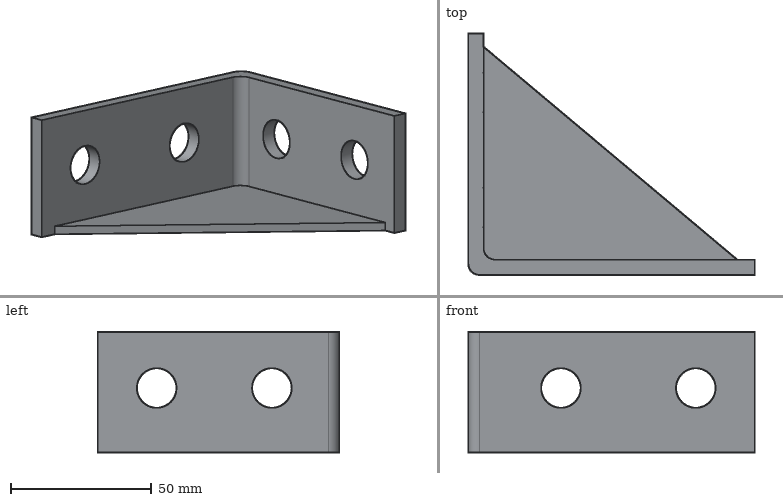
import cadquery as cq

length_x = 102.0
length_y = 86.0
height = 43.0
thickness = 5.5

bend_radius = 4.0

hole_diameter = 14.0
hole_height = 23.0
hole_end_distance = 21.0
hole_spacing_x = 48.0
hole_spacing_y = 41.0

gusset_length_x = 90.25
gusset_length_y = 75.75
gusset_thickness = 3.0

outer_hole_x = length_x - hole_end_distance
outer_hole_y = length_y - hole_end_distance


def make_legs():
    """Upright L-shaped plate with its corner at the origin and a rounded bend."""
    profile = (
        cq.Workplane("XY")
        .polyline(
            [
                (0, 0),
                (length_x, 0),
                (length_x, thickness),
                (thickness, thickness),
                (thickness, length_y),
                (0, length_y),
            ]
        )
        .close()
    )
    legs = profile.extrude(height)
    outer_corner = cq.selectors.NearestToPointSelector((0, 0, height / 2))
    inner_corner = cq.selectors.NearestToPointSelector((thickness, thickness, height / 2))
    legs = legs.edges(outer_corner).fillet(bend_radius)
    return legs.edges(inner_corner).fillet(bend_radius)


def make_gusset():
    """Triangular plate closing the lower end of the inside corner."""
    return (
        cq.Workplane("XY")
        .moveTo(thickness, thickness)
        .line(gusset_length_x, 0)
        .line(-gusset_length_x, gusset_length_y)
        .close()
        .extrude(gusset_thickness)
    )


def make_hole(start, direction):
    """Cylinder that cuts one bolt hole straight through a leg."""
    return cq.Solid.makeCylinder(
        hole_diameter / 2,
        thickness,
        cq.Vector(*start),
        cq.Vector(*direction),
    )


result = make_legs().union(make_gusset())

for x in (outer_hole_x - hole_spacing_x, outer_hole_x):
    result = result.cut(make_hole((x, 0, hole_height), (0, 1, 0)))

for y in (outer_hole_y - hole_spacing_y, outer_hole_y):
    result = result.cut(make_hole((0, y, hole_height), (1, 0, 0)))